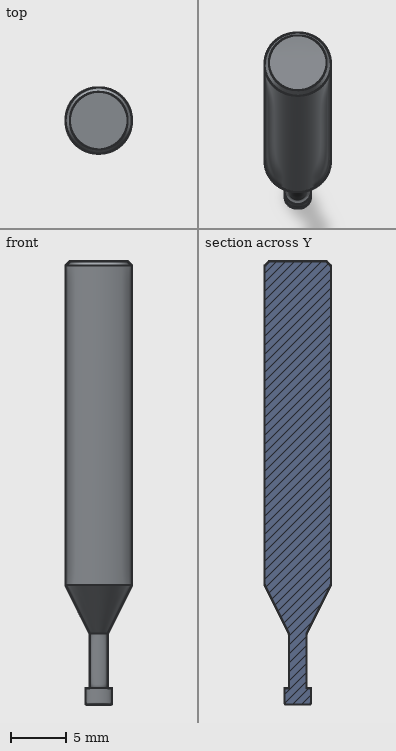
import cadquery as cq

total_length = 40.0
shank_diameter = 6.0
shank_chamfer = 0.4

head_diameter = 2.4
head_height = 1.5
head_corner_radius = 0.2

neck_diameter = 1.65
neck_root_fillet = 0.1
neck_top = 6.45
cone_top = 10.8

shank_radius = shank_diameter / 2
head_radius = head_diameter / 2
neck_radius = neck_diameter / 2


def cylinder(radius, bottom, top):
    """Upright cylinder on the Z axis."""
    return cq.Workplane("XY").workplane(offset=bottom).circle(radius).extrude(top - bottom)


shank = cylinder(shank_radius, cone_top, total_length).faces(">Z").chamfer(shank_chamfer)

cone_profile = [(0, neck_top), (neck_radius, neck_top), (shank_radius, cone_top), (0, cone_top)]
cone = cq.Workplane("XZ").polyline(cone_profile).close().revolve(360, (0, 0), (0, 1))

head = cylinder(head_radius, 0, head_height).faces("<Z").edges().fillet(head_corner_radius)

root_top = head_height + neck_root_fillet
root_radius = neck_radius + neck_root_fillet
neck = cylinder(neck_radius, head_height, neck_top)
neck_root = (
    cq.Workplane("XZ")
    .moveTo(0, head_height)
    .lineTo(root_radius, head_height)
    .radiusArc((neck_radius, root_top), neck_root_fillet)
    .lineTo(0, root_top)
    .close()
    .revolve(360, (0, 0), (0, 1))
)

result = shank.union(cone).union(neck).union(neck_root).union(head)